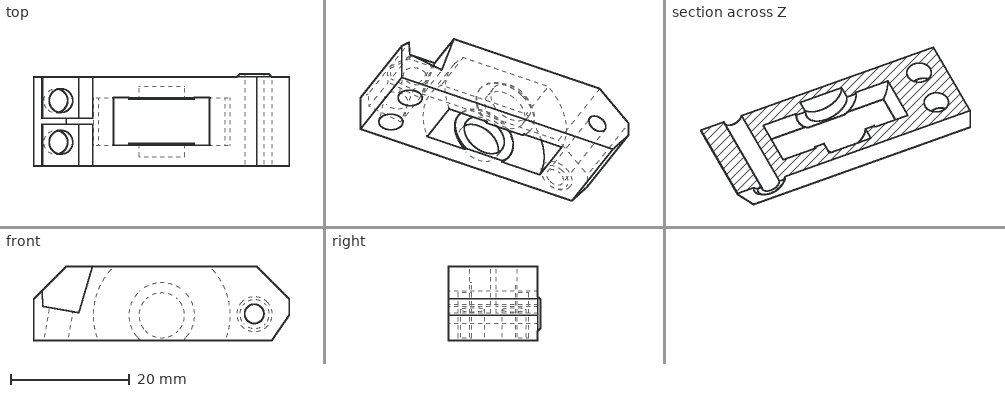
import cadquery as cq
import math

LENGTH = 43.0
WIDTH = 15.0
HEIGHT = 12.5
TOP_CHAMFER = 5.5
TOE_LENGTH = 2.95
TOE_HEIGHT = 4.3
MID_Y = WIDTH / 2

LIP_TOP_X = 1.4
LIP_BASE_X = 1.57
SEAT_LIP_Z = 5.75
SEAT_TILT = 10.0
SEAT_END_X = 7.6
SEAT_WALL_TOP_X = 9.9
RIB_THICKNESS = 1.0
SCREW_DIAMETER = 4.0
SCREW_X = 4.6
SCREW_SPACING = 7.0

WHEEL_X = 21.5
WHEEL_Z = 4.3
CAVITY_RADIUS = 11.5
CAVITY_WIDTH = 8.0
RING_DIAMETER = 11.0
RING_HEIGHT = 0.3
BORE_DIAMETER = 7.6
BORE_DEPTH = 2.2

PIVOT_X = 37.1
PIVOT_Z = 4.5
PIVOT_DIAMETER = 3.2
COLLAR_BASE_DIAMETER = 5.9
COLLAR_TOP_DIAMETER = 4.9
COLLAR_HEIGHT = 0.5


def cylinder_along_y(x, z, diameter, start_y, end_y):
    axis_start = cq.Vector(x, start_y, z)
    solid = cq.Solid.makeCylinder(diameter / 2, end_y - start_y, axis_start, cq.Vector(0, 1, 0))
    return cq.Workplane(obj=solid)


def seat_height(x):
    """Height of the tilted seat floor at a given x."""
    return SEAT_LIP_Z - (x - LIP_BASE_X) * math.tan(math.radians(SEAT_TILT))


def make_body():
    outline = [
        (0, 0),
        (LENGTH - TOE_LENGTH, 0),
        (LENGTH, TOE_HEIGHT),
        (LENGTH, HEIGHT - TOP_CHAMFER),
        (LENGTH - TOP_CHAMFER, HEIGHT),
        (TOP_CHAMFER, HEIGHT),
        (0, HEIGHT - TOP_CHAMFER),
    ]
    return cq.Workplane("XZ").polyline(outline).close().extrude(-WIDTH)


def make_seat_cut():
    """Notch for both screw seats, leaving the rib standing at mid-width."""
    outline = [
        (LIP_BASE_X, SEAT_LIP_Z),
        (SEAT_END_X, seat_height(SEAT_END_X)),
        (SEAT_WALL_TOP_X, HEIGHT),
        (TOP_CHAMFER, HEIGHT),
        (LIP_TOP_X, HEIGHT - TOP_CHAMFER + LIP_TOP_X),
    ]
    notch = cq.Workplane("XZ").polyline(outline).close().extrude(-WIDTH)
    rib = cq.Workplane("XY").box(LENGTH, RIB_THICKNESS, HEIGHT, centered=(False, True, False))
    return notch.cut(rib.translate((0, MID_Y, 0)))


def make_screw_hole(y):
    """Hole square to the tilted seat, running from the seat down through the base."""
    tilt = math.radians(SEAT_TILT)
    seat_normal = cq.Vector(math.sin(tilt), 0, math.cos(tilt))
    seat_center = cq.Vector(SCREW_X, y, seat_height(SCREW_X))
    solid = cq.Solid.makeCylinder(SCREW_DIAMETER / 2, HEIGHT, seat_center, -seat_normal)
    return cq.Workplane(obj=solid)


def make_cavity():
    """Disc-shaped slot, narrowed by a raised ring on each side wall, with a blind bore in each ring."""
    near_wall_y = MID_Y - CAVITY_WIDTH / 2
    far_wall_y = MID_Y + CAVITY_WIDTH / 2
    near_ring_y = near_wall_y + RING_HEIGHT
    far_ring_y = far_wall_y - RING_HEIGHT
    disc = cylinder_along_y(WHEEL_X, WHEEL_Z, 2 * CAVITY_RADIUS, near_wall_y, far_wall_y)
    near_ring = cylinder_along_y(WHEEL_X, WHEEL_Z, RING_DIAMETER, near_wall_y, near_ring_y)
    far_ring = cylinder_along_y(WHEEL_X, WHEEL_Z, RING_DIAMETER, far_ring_y, far_wall_y)
    bores = cylinder_along_y(
        WHEEL_X, WHEEL_Z, BORE_DIAMETER, near_ring_y - BORE_DEPTH, far_ring_y + BORE_DEPTH
    )
    return disc.cut(near_ring).cut(far_ring).union(bores)


def make_collar():
    collar = cq.Solid.makeCone(
        COLLAR_BASE_DIAMETER / 2,
        COLLAR_TOP_DIAMETER / 2,
        COLLAR_HEIGHT,
        cq.Vector(PIVOT_X, WIDTH, PIVOT_Z),
        cq.Vector(0, 1, 0),
    )
    return cq.Workplane(obj=collar)


result = make_body().cut(make_seat_cut())
for side in (-1, 1):
    result = result.cut(make_screw_hole(MID_Y + side * SCREW_SPACING / 2))
result = result.cut(make_cavity())
result = result.union(make_collar())
result = result.cut(cylinder_along_y(PIVOT_X, PIVOT_Z, PIVOT_DIAMETER, 0, WIDTH + COLLAR_HEIGHT))